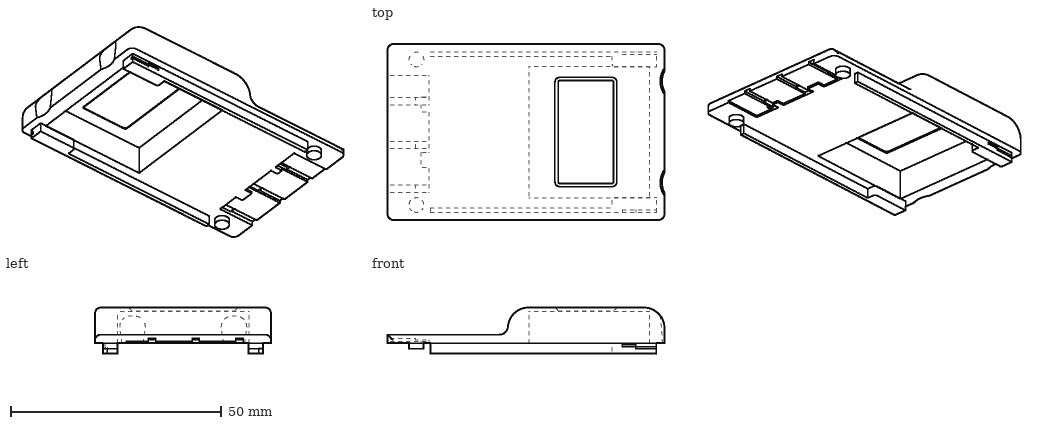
import cadquery as cq
import math

length = 66.0
width = 42.0
height = 8.5
plate_thickness = 2.05
edge_radius = 1.5

crown_radius = 5.0
foot_radius = 2.0
crown_start_x = 33.65
crown_end_x = length - crown_radius
crown_z = height - crown_radius
foot_z = plate_thickness + foot_radius

window_x = 47.25
window_length = 14.7
window_width = 26.0
window_corner = 1.1
window_flare = 0.8

roof_thickness = 0.9
cavity_width = 31.4
cavity_end_x = 62.4

rail_drop = 2.5
rail_inset = 1.9
rail_width = 1.05
rail_start_x = 10.2
rail_end_x = 64.0
block_start_x = 53.45
block_width = 3.5
block_corner = 0.65
rail_outer_y = width / 2 - rail_inset
block_inner_y = rail_outer_y - block_width

groove_depth = 0.5
groove_height = 0.45
groove_top = 0.4
groove_start_x = 56.0
groove_step_x = 59.1

pin_diameter = 3.5
pin_drop = 1.4
pin_x = 6.85
pin_y = rail_outer_y - block_width / 2

recess_length = 9.9
recess_depth = 0.45
recess_min_y = -14.3
recess_max_y = 13.5
slot_step_x = 6.6
slot_step = 0.25
slot_width = 1.7
slot_depth = 1.1
slot_pitch = 10.4
slot_count = 3
tab_length = 2.0
tab_width = 3.5
tab_y = 6.6

scoop_y = 12.1
scoop_chord = 5.0
scoop_depth = 0.6
scoop_flare = 0.6


def box(x_min, x_max, y_min, y_max, z_min, z_max):
    size = (x_max - x_min, y_max - y_min, z_max - z_min)
    return cq.Workplane().box(*size, centered=False).translate((x_min, y_min, z_min))


def make_body():
    rise = foot_z - crown_z
    reach = crown_radius + foot_radius
    run = math.sqrt(reach**2 - rise**2)
    foot_x = crown_start_x - run
    touch_x = crown_start_x - run * crown_radius / reach
    touch_z = crown_z + rise * crown_radius / reach
    profile = (
        cq.Workplane("XZ", origin=(0, width / 2, 0))
        .lineTo(0, plate_thickness)
        .lineTo(foot_x, plate_thickness)
        .tangentArcPoint((touch_x, touch_z), relative=False)
        .tangentArcPoint((crown_start_x, height), relative=False)
        .lineTo(crown_end_x, height)
        .tangentArcPoint((length, crown_z), relative=False)
        .lineTo(length, 0)
        .close()
        .extrude(width)
    )
    return profile.faces("<Y or >Y").edges("not <Z").fillet(edge_radius)


def make_window():
    flare = (
        cq.Workplane("XY", origin=(window_x, 0, height))
        .sketch()
        .rect(window_length, window_width)
        .vertices()
        .fillet(window_corner)
        .finalize()
        .extrude(-window_flare, taper=45)
    )
    opening = flare.faces("<Z").wires().toPending().extrude(-height)
    return flare.union(opening)


def make_scoop(y):
    bottom_radius = (scoop_chord**2 / 4 + scoop_depth**2) / (2 * scoop_depth)
    axis_x = length - scoop_depth + bottom_radius
    return (
        cq.Workplane("XY", origin=(axis_x, y, 0))
        .circle(bottom_radius)
        .workplane(offset=height)
        .circle(bottom_radius + scoop_flare)
        .loft()
    )


def make_rail():
    wall = box(rail_start_x, rail_end_x, rail_outer_y - rail_width, rail_outer_y, -rail_drop, 0)
    block = box(block_start_x, rail_end_x, block_inner_y, rail_outer_y, -rail_drop, 0)
    block = block.edges("|Z and <X and <Y").fillet(block_corner)
    groove_y = rail_outer_y - groove_depth
    step_z = -groove_top - groove_height
    upper = box(groove_start_x, groove_step_x, groove_y, rail_outer_y, step_z, -groove_top)
    lower = box(groove_step_x, rail_end_x, groove_y, rail_outer_y, step_z - groove_height, step_z)
    return wall.union(block).cut(upper).cut(lower)


def make_pin(y):
    return cq.Workplane("XY", origin=(pin_x, y, 0)).circle(pin_diameter / 2).extrude(-pin_drop)


def make_recess():
    recess = box(0, recess_length, recess_min_y, recess_max_y, 0, recess_depth)
    tab_start_x = recess_length - tab_length
    for y in (tab_y, -tab_y):
        tab = box(tab_start_x, recess_length, y - tab_width / 2, y + tab_width / 2, 0, recess_depth)
        recess = recess.cut(tab)
    for index in range(slot_count):
        slot_min_y = recess_min_y + index * slot_pitch
        slot_max_y = slot_min_y + slot_width
        recess = recess.union(box(0, slot_step_x, slot_min_y, slot_max_y, 0, slot_depth))
        recess = recess.union(box(0, recess_length, slot_min_y, slot_max_y, 0, slot_depth - slot_step))
    return recess


def make_cavity():
    half_width = cavity_width / 2
    return box(crown_start_x, cavity_end_x, -half_width, half_width, 0, height - roof_thickness)


result = make_body().cut(make_cavity()).cut(make_window()).cut(make_recess())
rail = make_rail()
result = result.union(rail).union(rail.mirror("XZ"))
for side in (1, -1):
    result = result.union(make_pin(side * pin_y))
    result = result.cut(make_scoop(side * scoop_y))